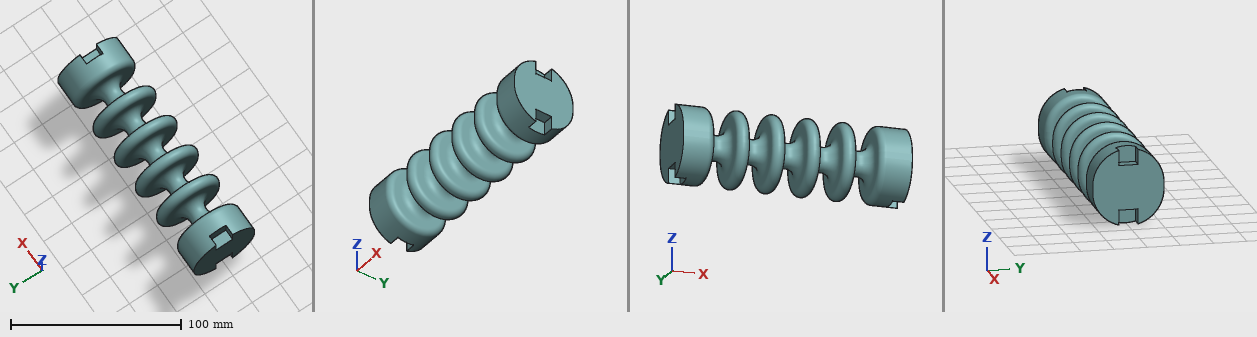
import cadquery as cq

length = 142.0
width = 43.0
height = 47.0
groove_count = 5
fin_thickness = 8.0
groove_width = 14.0
neck_radius = 5.7
slot_width = 11.6
slot_length = 7.0
slot_depth = 10.0

rim_radius = width / 2
flat_height = height - width
edge_round = fin_thickness / 2
groove_radius = groove_width / 2
groove_pitch = groove_width + fin_thickness
first_groove_x = -groove_pitch * (groove_count - 1) / 2
wall_top = rim_radius - edge_round
wall_bottom = neck_radius + groove_radius


def half_profile():
    """Outline from the X axis out to the grooved edge, in the XY plane."""
    end_block_edge_x = first_groove_x - groove_radius - edge_round
    sketch = (
        cq.Workplane("XY")
        .moveTo(-length / 2, 0)
        .lineTo(-length / 2, rim_radius)
        .lineTo(end_block_edge_x, rim_radius)
    )
    for i in range(groove_count):
        groove_x = first_groove_x + i * groove_pitch
        left_wall = groove_x - groove_radius
        right_wall = groove_x + groove_radius
        sketch = (
            sketch
            .tangentArcPoint((left_wall, wall_top), relative=False)
            .lineTo(left_wall, wall_bottom)
            .threePointArc((groove_x, neck_radius), (right_wall, wall_bottom))
            .lineTo(right_wall, wall_top)
            .tangentArcPoint((right_wall + edge_round, rim_radius), relative=False)
        )
    return sketch.lineTo(length / 2, rim_radius).lineTo(length / 2, 0).close()


def grooved_body():
    """Two half-turned sides joined by a straight middle slab."""
    top_half = half_profile().revolve(180, (0, 0, 0), (1, 0, 0)).translate((0, 0, flat_height / 2))
    bottom_half = top_half.mirror("XY")
    slab_side = half_profile().extrude(flat_height / 2, both=True)
    slab = slab_side.union(slab_side.mirror("XZ"))
    return slab.union(top_half).union(bottom_half)


def end_slots():
    """Rectangular slots at the top and bottom of both end faces."""
    centers = [
        (x_side * (length - slot_length) / 2, 0, z_side * (height - slot_depth) / 2)
        for x_side in (-1, 1)
        for z_side in (-1, 1)
    ]
    return (
        cq.Workplane("XY")
        .pushPoints(centers)
        .box(slot_length, slot_width, slot_depth)
    )


result = grooved_body().cut(end_slots())